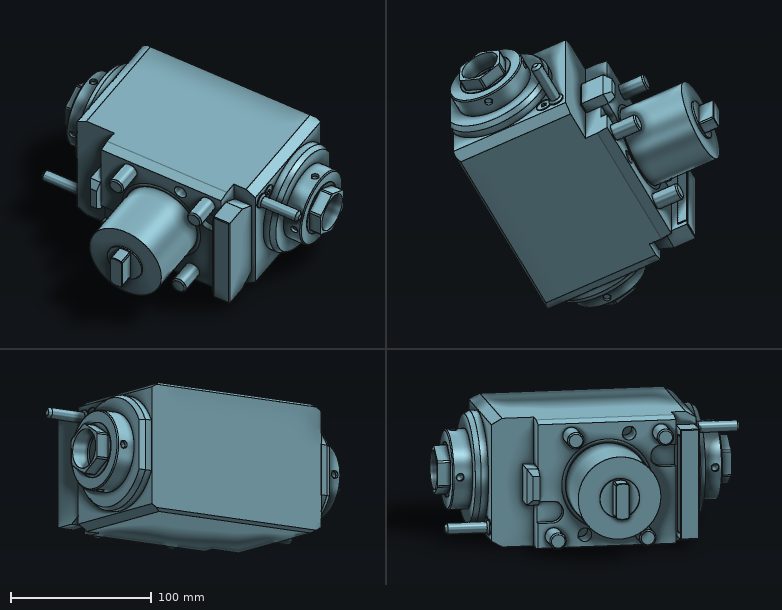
import cadquery as cq
import math


body_half_length = 74.3
height = 94.0
half_height = height / 2
back_y = 38.0
shoulder_y = -52.5
plate_y = -70.0
back_chamfer = 2.1
end_chamfer_length = 7.7
end_chamfer_angle = 30
end_chamfer_height = end_chamfer_length * math.tan(math.radians(end_chamfer_angle))
plate_chamfer_depth = 8.0
plate_chamfer_height = 2.0

shank_x = 6.5
plate_width = 100.0
plate_left = shank_x - plate_width / 2
plate_right = shank_x + plate_width / 2
slot_half_width = 8.0
slot_z = 19.0
slot_tip_offset = 31.7
slot_depth = 5.1
feature_row_z = 36.5
dowel_hole_offset = 16.0
dowel_hole_radius = 5.0
dowel_hole_depth = 17.1
bolt_offsets = (-26.1, 39.0)
bolt_radius = 6.0
bolt_end_y = -89.5
bolt_chamfer = 1.0

shank_radius = 30.0
shank_end_y = -119.2
seal_radius = 1.6
seal_protrusion = 0.6
drive_disc_radius = 14.3
drive_disc_length = 1.3
tongue_radius = 13.3
tongue_half_width = 5.0
tongue_side_chamfer = 0.9
tongue_tip_chamfer = 0.5
tongue_end_y = -132.0

key_left = -52.0
key_half_height = 13.3
key_taper_start_y = -71.0
key_end_y = -76.5
key_taper_x = 3.5
key_taper_z = 4.5
key_root_chamfer = 1.3
bar_left = 57.4
bar_right = 71.0
bar_height = 80.3
bar_half_height = bar_height / 2
bar_end_y = -82.6
bar_slope_start_y = -64.9
bar_slope_angle = 30
bar_edge_chamfer = 0.6
lip_width = 0.9
lip_length = 7.7
lip_half_height = 35.3

flange_radius = 41.5
flange_end_x = 83.5
flange_bevel_length = 3.9
flange_bevel_height = 2.1
flange_flat_y = 37.3
nut_radius = 29.0
nut_end_x = 97.8
nut_chamfer = 0.9
nut_recess_radius = 20.0
nut_recess_depth = 0.6
wrench_hole_radius = 2.8
wrench_hole_depth = 2.5
wrench_hole_point_angle = 118
wrench_hole_x = 92.5
half_hex_angle = 30
hex_across_flats = 32.0
hex_corner_radius = 18.0
hex_end_x = 106.6
hex_bore_radius = 14.1
hex_bore_depth = 14.0
hex_bore_bottom_chamfer = 1.0

pin_y = -45.0
pin_z = 33.6
pin_radius = 4.0
pin_end_x = 107.0
pin_chamfer = 2.0
pin_collar_radius = 5.5
pin_collar_length = 2.4
screw_y = -35.1
screw_radius = 5.8
screw_protrusion = 0.6
screw_socket_circumradius = 2.1
screw_socket_depth = 2.1


def cylinder_x(radius, start_x, end_x, y=0.0, z=0.0):
    """Cylinder along +X."""
    disc = cq.Workplane("YZ", origin=(start_x, y, z)).circle(radius)
    return disc.extrude(end_x - start_x)


def cylinder_y(radius, start_y, end_y, x, z):
    """Cylinder running from start_y toward -Y to end_y."""
    disc = cq.Workplane("XZ", origin=(x, start_y, z)).circle(radius)
    return disc.extrude(start_y - end_y)


def box_between(x_range, y_range, z_range):
    """Box spanning the given (low, high) ranges."""
    sizes = [high - low for low, high in (x_range, y_range, z_range)]
    corner = (x_range[0], y_range[0], z_range[0])
    return cq.Workplane("XY", origin=corner).box(*sizes, centered=False)


def turned_about_y(shape, pivot_x=0.0):
    """Copy of shape turned half a turn about a Y-parallel axis at pivot_x."""
    return shape.rotate((pivot_x, 0, 0), (pivot_x, 1, 0), 180)


def make_housing():
    """Bevelled block with the narrower mounting plate in front of its shoulder."""
    upper_side = [
        (back_y, half_height - back_chamfer),
        (back_y - back_chamfer, half_height),
        (plate_y + plate_chamfer_depth, half_height),
        (plate_y, half_height - plate_chamfer_height),
    ]
    lower_side = [(y, -z) for y, z in reversed(upper_side)]
    side_profile = cq.Workplane("YZ", origin=(-body_half_length, 0, 0))
    block = side_profile.polyline(upper_side + lower_side).close().extrude(2 * body_half_length)

    bevelled = (
        cq.Workplane("XZ", origin=(0, back_y, 0))
        .polyline([
            (-body_half_length, half_height - end_chamfer_height),
            (-body_half_length + end_chamfer_length, half_height),
            (body_half_length - end_chamfer_length, half_height),
            (body_half_length, half_height - end_chamfer_height),
            (body_half_length, end_chamfer_height - half_height),
            (body_half_length - end_chamfer_length, -half_height),
            (-body_half_length + end_chamfer_length, -half_height),
            (-body_half_length, end_chamfer_height - half_height),
        ])
        .close()
        .extrude(back_y - plate_y)
    )
    z_range = (-half_height, half_height)
    left_step = box_between((-body_half_length, plate_left), (plate_y, shoulder_y), z_range)
    right_step = box_between((plate_right, body_half_length), (plate_y, shoulder_y), z_range)
    return block.intersect(bevelled).cut(left_step).cut(right_step)


def make_plate_slot():
    """Round-ended slot open at the right side of the plate."""
    y_range = (plate_y, plate_y + slot_depth)
    round_x = shank_x + slot_tip_offset + slot_half_width
    z_range = (slot_z - slot_half_width, slot_z + slot_half_width)
    channel = box_between((round_x, plate_right), y_range, z_range)
    return channel.union(cylinder_y(slot_half_width, y_range[1], plate_y, round_x, slot_z))


def make_plate_cuts():
    """Slot and dowel hole, each repeated point-symmetrically about the shank."""
    dowel_hole = cylinder_y(
        dowel_hole_radius, plate_y + dowel_hole_depth, plate_y, shank_x + dowel_hole_offset, feature_row_z
    )
    cuts = make_plate_slot().union(dowel_hole)
    return cuts.union(turned_about_y(cuts, shank_x))


def make_bolts():
    """Four chamfered bolt ends standing out of the plate."""
    bolts = cq.Workplane("XY")
    for offset in bolt_offsets:
        bolt = cylinder_y(bolt_radius, shoulder_y, bolt_end_y, shank_x + offset, feature_row_z)
        bolt = bolt.faces("<Y").chamfer(bolt_chamfer)
        bolts = bolts.union(bolt).union(turned_about_y(bolt, shank_x))
    return bolts


def make_shank():
    """Shank with its seal ring at the plate, drive disc and flat tongue."""
    seal_centre_y = plate_y + seal_radius - seal_protrusion
    seal = cq.Workplane("XY").add(
        cq.Solid.makeTorus(
            shank_radius + seal_radius, seal_radius, cq.Vector(shank_x, seal_centre_y, 0), cq.Vector(0, 1, 0)
        )
    )
    shank = cylinder_y(shank_radius, shoulder_y, shank_end_y, shank_x, 0)
    disc_end_y = shank_end_y - drive_disc_length
    disc = cylinder_y(drive_disc_radius, shank_end_y, disc_end_y, shank_x, 0)

    tongue = cylinder_y(tongue_radius, shank_end_y, tongue_end_y, shank_x, 0)
    tongue_blank = box_between(
        (shank_x - tongue_half_width, shank_x + tongue_half_width),
        (tongue_end_y, shank_end_y),
        (-tongue_radius, tongue_radius),
    )
    tongue = tongue.intersect(tongue_blank).edges("|Y").chamfer(tongue_side_chamfer)
    tongue = tongue.faces("<Y").chamfer(tongue_tip_chamfer)
    return shank.union(seal).union(disc).union(tongue)


def make_key():
    """Key beside the plate, tapered toward its front on three sides."""
    z_range = (-key_half_height, key_half_height)
    base = box_between((key_left, plate_left), (key_taper_start_y, shoulder_y), z_range)
    base = base.faces(">Y").edges("<X or >Z or <Z").chamfer(key_root_chamfer)
    base_width = plate_left - key_left
    front_width = base_width - key_taper_x
    taper = (
        cq.Workplane("XZ", origin=(plate_left, key_taper_start_y, 0))
        .center(-base_width / 2, 0)
        .rect(base_width, 2 * key_half_height)
        .workplane(offset=key_taper_start_y - key_end_y)
        .center((base_width - front_width) / 2, 0)
        .rect(front_width, 2 * (key_half_height - key_taper_z))
        .loft()
    )
    return base.union(taper)


def make_stop_bar():
    """Bar standing on the right shoulder, sloped toward its root, with a lip facing the shank."""
    slope_drop = (shoulder_y - bar_slope_start_y) * math.tan(math.radians(bar_slope_angle))
    root_half_height = bar_half_height - slope_drop
    bar = (
        cq.Workplane("YZ", origin=(bar_left, 0, 0))
        .polyline([
            (shoulder_y, root_half_height),
            (bar_slope_start_y, bar_half_height),
            (bar_end_y, bar_half_height),
            (bar_end_y, -bar_half_height),
            (bar_slope_start_y, -bar_half_height),
            (shoulder_y, -root_half_height),
        ])
        .close()
        .extrude(bar_right - bar_left)
        .faces("<Y")
        .chamfer(bar_edge_chamfer)
    )
    lip = box_between(
        (bar_left - lip_width, bar_left + bar_edge_chamfer),
        (bar_end_y + bar_edge_chamfer, bar_end_y + lip_length),
        (-lip_half_height, lip_half_height),
    )
    return bar.union(lip)


def make_flange():
    """Bevelled flange with a bevelled flat on its back side."""
    bevel_start_x = flange_end_x - flange_bevel_length
    flange = (
        cq.Workplane("XY")
        .polyline([
            (0, 0),
            (0, flange_radius),
            (bevel_start_x, flange_radius),
            (flange_end_x, flange_radius - flange_bevel_height),
            (flange_end_x, 0),
        ])
        .close()
        .revolve(360, (0, 0, 0), (1, 0, 0))
    )
    flat_blank = (
        cq.Workplane("XY", origin=(0, 0, -flange_radius))
        .polyline([
            (0, -flange_radius),
            (0, flange_flat_y),
            (bevel_start_x, flange_flat_y),
            (flange_end_x, flange_flat_y - flange_bevel_height),
            (flange_end_x, -flange_radius),
        ])
        .close()
        .extrude(2 * flange_radius)
    )
    return flange.intersect(flat_blank)


def make_nut():
    """Round nut with a shallow front recess and four drilled radial wrench holes."""
    nut = cylinder_x(nut_radius, flange_end_x, nut_end_x).faces(">X").chamfer(nut_chamfer)
    nut = nut.cut(cylinder_x(nut_recess_radius, nut_end_x - nut_recess_depth, nut_end_x))
    point_length = wrench_hole_radius / math.tan(math.radians(wrench_hole_point_angle / 2))
    shoulder_z = nut_radius - wrench_hole_depth
    hole = (
        cq.Workplane("XZ")
        .polyline([
            (wrench_hole_x, shoulder_z - point_length),
            (wrench_hole_x + wrench_hole_radius, shoulder_z),
            (wrench_hole_x + wrench_hole_radius, nut_radius),
            (wrench_hole_x, nut_radius),
        ])
        .close()
        .revolve(360, (wrench_hole_x, 0, 0), (wrench_hole_x, 1, 0))
    )
    for angle in (0, 90, 180, 270):
        nut = nut.cut(hole.rotate((0, 0, 0), (1, 0, 0), angle))
    return nut


def make_hex():
    """Hexagon with rounded corners, flats facing +Y and -Y."""
    hex_start_x = nut_end_x - nut_recess_depth
    across_corners = hex_across_flats / math.cos(math.radians(half_hex_angle))
    hexagon = (
        cq.Workplane("YZ", origin=(hex_start_x, 0, 0))
        .transformed(rotate=(0, 0, half_hex_angle))
        .polygon(6, across_corners)
        .extrude(hex_end_x - hex_start_x)
    )
    return hexagon.intersect(cylinder_x(hex_corner_radius, hex_start_x, hex_end_x))


def make_pin():
    """Coolant pin with a conical collar at the housing."""
    pin = cylinder_x(pin_radius, body_half_length, pin_end_x, pin_y, pin_z)
    pin = pin.faces(">X").chamfer(pin_chamfer)
    collar = cylinder_x(
        pin_collar_radius, body_half_length, body_half_length + pin_collar_length, pin_y, pin_z
    )
    return pin.union(collar.faces(">X").chamfer(pin_collar_radius - pin_radius))


def make_screw():
    """Low round screw head beside the pin."""
    head_x = body_half_length + screw_protrusion
    return cylinder_x(screw_radius, body_half_length, head_x, screw_y, pin_z)


def make_screw_socket():
    """Hexagon socket with corners toward +Z and -Z."""
    return (
        cq.Workplane("YZ", origin=(body_half_length + screw_protrusion, screw_y, pin_z))
        .transformed(rotate=(0, 0, half_hex_angle))
        .polygon(6, 2 * screw_socket_circumradius)
        .extrude(-screw_socket_depth)
    )


housing = make_housing().union(make_shank()).cut(make_plate_cuts())
housing = housing.union(make_bolts()).union(make_key()).union(make_stop_bar())

spindle_end = make_flange().union(make_nut()).union(make_hex()).union(make_pin()).union(make_screw())
hex_bore = cylinder_x(hex_bore_radius, hex_end_x - hex_bore_depth, hex_end_x)
hex_bore = hex_bore.faces("<X").chamfer(hex_bore_bottom_chamfer)
end_cuts = hex_bore.union(make_screw_socket())

result = housing.union(spindle_end).union(turned_about_y(spindle_end))
result = result.cut(end_cuts).cut(turned_about_y(end_cuts))